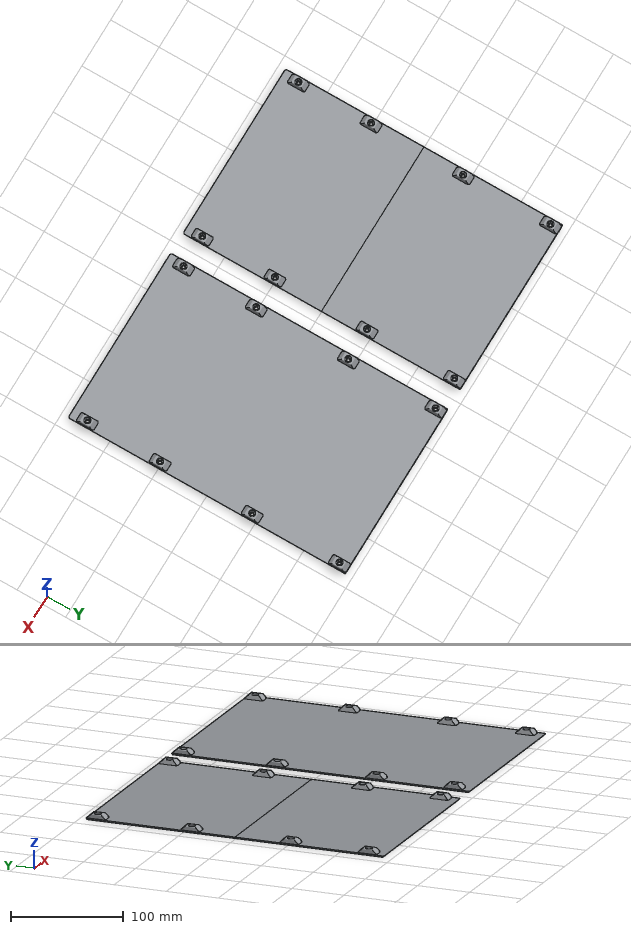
import cadquery as cq
import math

overall_width = 378.5
overall_height = 6.0
panel_length = 286.0
panel_gap = 21.2
panel_width = (overall_width - panel_gap) / 2
panel_shift = (panel_width + panel_gap) / 2

plate_thickness = 2.12
corner_radius = 2.3
edge_lip = 0.05
bevel = plate_thickness - edge_lip

boss_height = overall_height - plate_thickness
boss_width = 10.0
boss_length = 18.0
boss_draft = 15
boss_corner_radius = 2.0
boss_top_radius = 0.8
boss_edge_distance = 5.5
boss_offsets = [boss_length / 2, 99.2, 194.2, 269.0]

hole_diameter = 3.6
counterbore_diameter = 6.0
counterbore_depth = boss_height / 2


def plate():
    """Plate with rounded -Y corners, bevelled underneath on every side but +Y."""
    blank = cq.Workplane("XY").rect(panel_width, panel_length).extrude(-plate_thickness)
    rounded = blank.edges("|Z and <Y").fillet(corner_radius)
    return rounded.faces("<Z").edges("not >Y").chamfer(bevel)


def boss():
    """Boss with 45 degree ends, its outer side upright on -X and its inner side drafted on +X."""
    half_width = boss_width / 2
    half_length = boss_length / 2
    half_top = half_length - boss_height
    draft_run = boss_height * math.tan(math.radians(boss_draft))

    footprint = (
        cq.Workplane("XY")
        .rect(boss_width, boss_length)
        .extrude(boss_height)
        .edges("|Z")
        .fillet(boss_corner_radius)
    )
    side_profile = (
        cq.Workplane("YZ")
        .polyline([(-half_length, 0), (half_length, 0), (half_top, boss_height), (-half_top, boss_height)])
        .close()
        .extrude(half_width, both=True)
    )
    end_profile = (
        cq.Workplane("XZ")
        .polyline([
            (-half_width, 0),
            (half_width, 0),
            (half_width - draft_run, boss_height),
            (-half_width, boss_height),
        ])
        .close()
        .extrude(half_length, both=True)
    )
    block = footprint.intersect(side_profile).intersect(end_profile)
    return block.faces(">Z").edges().fillet(boss_top_radius)


def panel():
    """Whole panel: plate, a column of bosses along each long side, and the screw holes."""
    column_x = panel_width / 2 - boss_edge_distance
    left_boss = boss()
    right_boss = left_boss.mirror("YZ")
    body = plate()
    hole_centres = []
    for offset in boss_offsets:
        y = panel_length / 2 - offset
        body = body.union(left_boss.translate((-column_x, y, 0)))
        body = body.union(right_boss.translate((column_x, y, 0)))
        hole_centres += [(-column_x, y), (column_x, y)]
    return (
        body.faces(">Z")
        .workplane(origin=(0, 0, boss_height))
        .pushPoints(hole_centres)
        .cboreHole(hole_diameter, counterbore_diameter, counterbore_depth)
    )


def half(body, direction):
    """The +Y (direction 1) or -Y (direction -1) half of a panel."""
    keep = cq.Workplane("XY").box(panel_width, panel_length, 2 * overall_height)
    return body.intersect(keep.translate((0, direction * panel_length / 2, 0)))


full_panel = panel()
right_panel = full_panel.translate((panel_shift, 0, 0))
left_back_panel = half(full_panel, 1).translate((-panel_shift, 0, 0))
left_front_panel = half(full_panel, -1).translate((-panel_shift, 0, 0))

result = cq.Compound.makeCompound(
    [right_panel.solids().val(), left_back_panel.solids().val(), left_front_panel.solids().val()]
)